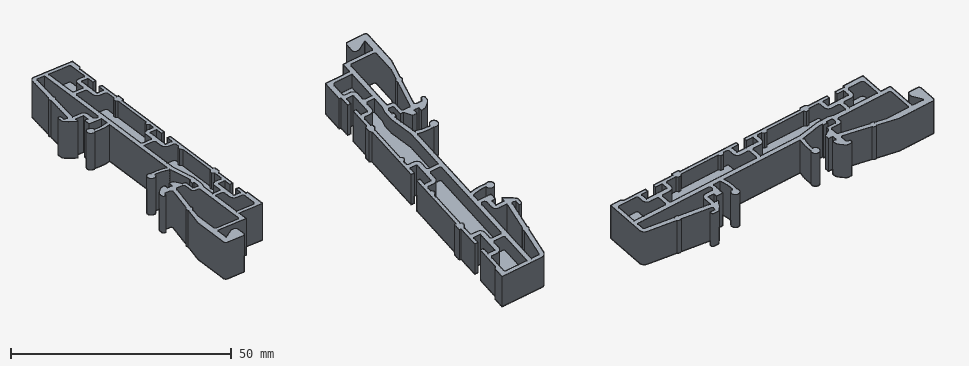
import cadquery as cq
import math

length = 80.1
width = 10.0
height = 16.5

bar_top = 16.0
wall_inner = 15.1
bar_bottom = 7.85
pocket_base = 9.05
step_y = 9.85
right_base = 8.6
left_wall = 1.05
right_wall = 1.0
housing_end = 72.2
shoulder_end = 74.9
pocket_depth = 4.5
corner = 0.4

slot_count = 3
first_slot = 10.7
slot_pitch = 25.95
slot_mouth = 2.25
slot_width = 5.9
slot_bottom = 13.3
tray_width = 8.2
tray_bottom = 12.1
tray_radius = 1.3
rib_width = 1.05

pad_chamfer = 0.5
left_pad_end = 3.45
right_pad_start = 66.5
square_pad = (17.5, 19.5)
sloped_pad = (53.75, 56.15)

ridges = ((18.4, 0.5), (30.4, 0.6), (42.9, 0.6), (54.95, 0.5))
ridge_width = 1.5
ridge_tip = 0.65

leg_mirror = 36.7
ball_x = 25.2
ball_y = 2.92
ball_radius = 1.05

left_arm_slope = -0.15
right_arm_slope = -0.23
bead_radius = 0.8


def corner_arc(before, point, after, radius):
    """Start, middle and end of the arc that rounds the corner at point."""
    to_before = cq.Vector(before[0] - point[0], before[1] - point[1]).normalized()
    to_after = cq.Vector(after[0] - point[0], after[1] - point[1]).normalized()
    half_angle = to_before.getAngle(to_after) / 2
    tip = cq.Vector(point[0], point[1])
    setback = radius / math.tan(half_angle)
    to_middle = radius / math.sin(half_angle) - radius
    start = tip + to_before * setback
    middle = tip + (to_before + to_after).normalized() * to_middle
    end = tip + to_after * setback
    return start, middle, end


def prism(points, bottom=0.0):
    """Extrude a closed outline from the given height up to the full width.

    Each point is (x, y), or (x, y, radius) where the corner is rounded.
    """
    outline = None
    for i, point in enumerate(points):
        before = points[i - 1]
        after = points[(i + 1) % len(points)]
        if len(point) == 3:
            start, middle, end = corner_arc(before, point, after, point[2])
        else:
            start = cq.Vector(point[0], point[1])
        if outline is None:
            outline = cq.Workplane("XY").workplane(offset=bottom).moveTo(start.x, start.y)
        else:
            outline = outline.lineTo(start.x, start.y)
        if len(point) == 3:
            outline = outline.threePointArc((middle.x, middle.y), (end.x, end.y))
    return outline.close().extrude(width - bottom)


def block(x0, x1, y0, y1):
    return prism([(x0, y0), (x1, y0), (x1, y1), (x0, y1)])


def slot_centre(index):
    return first_slot + index * slot_pitch


def make_housing():
    housing = prism([
        (0, bar_bottom),
        (48.4, bar_bottom),
        (54.0, 9.05),
        (54.9, 9.05),
        (54.9, 8.65),
        (56.1, 8.65),
        (56.1, 9.1),
        (57.75, 9.1, corner),
        (57.75, right_base),
        (shoulder_end, right_base),
        (shoulder_end, step_y),
        (housing_end, step_y),
        (housing_end, height),
        (right_pad_start, height),
        (right_pad_start, bar_top),
        (left_pad_end, bar_top),
        (left_pad_end - pad_chamfer, height),
        (0, height),
    ])
    housing = housing.union(block(*square_pad, bar_top, height))
    sloped_start, sloped_end = sloped_pad
    return housing.union(prism([
        (sloped_start, bar_top),
        (sloped_start + pad_chamfer, height),
        (sloped_end - pad_chamfer, height),
        (sloped_end, bar_top),
    ]))


def make_slot(centre):
    mouth = block(centre - slot_mouth / 2, centre + slot_mouth / 2, slot_bottom, height)
    channel = block(centre - slot_width / 2, centre + slot_width / 2, slot_bottom, wall_inner)
    return mouth.union(channel)


def left_of_slot(index, base, foot_radius):
    """Pocket outline under the left half of a tray, from its rib to the top wall."""
    centre = slot_centre(index)
    rib = centre - rib_width / 2
    tray = centre - tray_width / 2
    foot = (rib, base, foot_radius) if foot_radius else (rib, base)
    return [foot, (rib, tray_bottom, corner), (tray, tray_bottom, tray_radius), (tray, wall_inner, corner)]


def right_of_slot(index, base, foot_radius):
    """Pocket outline under the right half of a tray, from the top wall to its rib."""
    centre = slot_centre(index)
    mirrored = left_of_slot(index, base, foot_radius)
    return [(2 * centre - point[0], *point[1:]) for point in reversed(mirrored)]


def make_pockets():
    floor = width - pocket_depth
    pocket_end = housing_end - right_wall
    raised_base = [(48.3, pocket_base), (54.5, 10.25), (57.35, 10.25), (58.8, step_y)]
    outlines = [
        [(left_wall, wall_inner, corner), (left_wall, pocket_base)]
        + left_of_slot(0, pocket_base, corner),
        right_of_slot(0, pocket_base, corner) + left_of_slot(1, pocket_base, corner),
        right_of_slot(1, pocket_base, None) + raised_base + left_of_slot(2, step_y, None),
        right_of_slot(2, step_y, None)
        + [(pocket_end, step_y), (pocket_end, wall_inner, 2 * corner)],
    ]
    pockets = prism(outlines[0], floor)
    for outline in outlines[1:]:
        pockets = pockets.union(prism(outline, floor))
    for centre, depth in ridges:
        pockets = pockets.cut(prism([
            (centre - ridge_width / 2, wall_inner),
            (centre - ridge_tip / 2, wall_inner - depth),
            (centre + ridge_tip / 2, wall_inner - depth),
            (centre + ridge_width / 2, wall_inner),
        ]))
    return pockets


def make_leg():
    stem = (
        cq.Workplane("XY")
        .moveTo(24.7, bar_bottom)
        .threePointArc((25.1, 6.4), (25.15, ball_y))
        .lineTo(26.0, ball_y)
        .threePointArc((26.07, 6.4), (25.8, bar_bottom))
        .close()
        .extrude(width)
    )
    ball = cq.Workplane("XY").center(ball_x, ball_y).circle(ball_radius).extrude(width)
    return stem.union(ball)


def make_arm_bead(x, y_low, y_high):
    """Round bead across an arm whose faces are at y_low and y_high."""
    return cq.Workplane("XY").center(x, (y_low + y_high) / 2).circle(bead_radius).extrude(width)


def make_left_clip():
    arm_outer = 4.6
    arm_inner = 5.8
    link_left = 18.2
    arm_tip = 17.5
    gap_top = 6.5
    clip = prism([
        (0, bar_bottom),
        (0, arm_outer, 1.4),
        (arm_tip, arm_outer + left_arm_slope * arm_tip),
        (18.0, 1.85, 0.25),
        (17.8, 0.9),
        (16.4, 0.9),
        (16.4, 0, 0.4),
        (18.3, 0, 0.7),
        (19.2, 1.05),
        (20.4, 2.9),
        (20.1, 3.05),
        (19.3, 3.05),
        (19.3, 5.3),
        (20.9, 5.3),
        (20.9, 4.3),
        (22.75, 4.3),
        (22.75, bar_bottom),
    ])
    hollow = prism([
        (left_wall, bar_bottom),
        (left_wall, arm_inner + left_arm_slope * left_wall, 0.3),
        (link_left, arm_inner + left_arm_slope * link_left),
        (link_left, gap_top, 1.3),
        (21.8, gap_top, 0.65),
        (21.8, bar_bottom, 0.65),
    ])
    bead_x = 9.45
    drop = left_arm_slope * bead_x
    bead = make_arm_bead(bead_x, arm_outer + drop, arm_inner + drop)
    return clip.cut(hollow).union(bead)


def make_right_clip():
    foot_x = 69.85
    hollow_base = 1.7
    hollow_left = 55.5
    hollow_floor_x = 67.45
    arm_start = 55.6
    clip = prism([
        (57.75, right_base),
        (57.75, 7.6, corner),
        (54.9, 7.6),
        (54.9, 6.7),
        (52.95, 5.5),
        (52.95, 4.3),
        (54.15, 4.3),
        (54.15, 3.05),
        (53.1, 3.05),
        (53.3, 1.8, 1.6),
        (54.95, 0, 1.0),
        (56.55, 0, 0.5),
        (56.55, 1.0, 0.25),
        (arm_start, 1.0, 0.5),
        (arm_start, right_arm_slope * (arm_start - foot_x), 0.5),
        (foot_x, 0),
        (length, 0, 0.65),
        (length, 5.8, 0.65),
        (76.6, 5.8, 0.7),
        (76.6, 4.3, 0.5),
        (78.1, hollow_base + 0.25),
        (78.1, hollow_base),
        (shoulder_end, hollow_base, 0.25),
        (shoulder_end, right_base),
    ])
    hollow_right = shoulder_end - right_wall
    hollow = prism([
        (58.8, right_base, corner),
        (58.8, 6.7, 0.8),
        (hollow_left, 6.7, corner),
        (hollow_left, hollow_base + right_arm_slope * (hollow_left - hollow_floor_x), corner),
        (hollow_floor_x, hollow_base),
        (hollow_right, hollow_base, corner),
        (hollow_right, right_base, corner),
    ])
    bead_x = 63.9
    low = right_arm_slope * (bead_x - foot_x)
    high = hollow_base + right_arm_slope * (bead_x - hollow_floor_x)
    bead = make_arm_bead(bead_x, low, high)
    return clip.cut(hollow).union(bead)


result = make_housing().cut(make_pockets())
for slot_index in range(slot_count):
    result = result.cut(make_slot(slot_centre(slot_index)))

left_leg = make_leg()
right_leg = left_leg.mirror("YZ", (leg_mirror, 0, 0))
result = result.union(left_leg).union(right_leg)
result = result.union(make_left_clip()).union(make_right_clip())